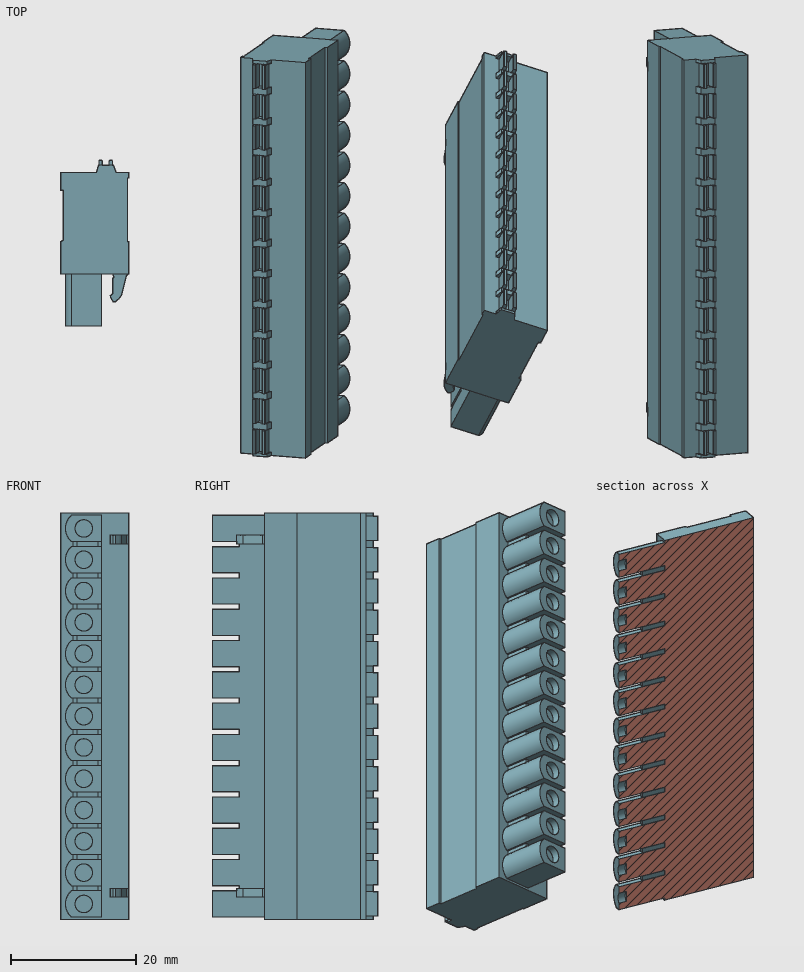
import cadquery as cq


length = 65.0
pole_count = 13
pitch = length / pole_count
pole_heights = [(index + 0.5) * pitch for index in range(pole_count)]

housing_width = 10.9
housing_depth = 16.25
recess_start = 5.2
left_recess_end = 13.4
right_recess_end = 15.35
left_recess = 0.4
right_recess = 0.2
recess_ramp = 0.2

plug_length = 8.3
plug_height = 4.2
plug_left = 0.8
plug_corner_x = 1.75
plug_right = 6.55
bore_x = 3.7
bore_diameter = 2.8
bore_depth = 1.3

web_length = 4.0
web_thickness = 0.6
web_lefts = (2.0, plug_right - web_thickness)

ridge_height = 1.2
ridge_base = (5.7, 8.9)
ridge_top = (6.05, 8.45)
window_height = 3.9
blade_height = 1.95
blade_thickness = 0.6
blade_bevel = 0.1
first_blade_left = 6.1
second_blade_left = 7.75

latch_height = 1.4
latch_inset = 3.6
latch_outline = [
    (8.3, 0),
    (8.5, -0.5),
    (8.3, -0.65),
    (8.3, -3.1),
    (7.9, -3.45),
    (8.0, -3.8),
    (8.4, -4.4),
    (8.8, -4.4),
    (9.4, -3.85),
    (9.75, -3.4),
    (10.5, -0.25),
    (10.85, 0),
]


def slab(outline, bottom, height):
    """Extrude a closed XY outline upward from a Z level."""
    return cq.Workplane("XY").workplane(offset=bottom).polyline(outline).close().extrude(height)


def block(left, right, front, back, bottom, top):
    """Box between two limits along each axis."""
    size = (right - left, back - front, top - bottom)
    return cq.Workplane("XY").box(*size, centered=False).translate((left, front, bottom))


def make_housing():
    """Rectangular housing with a shallow recess along each side, the left one starting with a ramp."""
    left = left_recess
    right = housing_width - right_recess
    outline = [
        (0, 0),
        (housing_width, 0),
        (housing_width, recess_start),
        (right, recess_start),
        (right, right_recess_end),
        (housing_width, right_recess_end),
        (housing_width, housing_depth),
        (0, housing_depth),
        (0, left_recess_end),
        (left, left_recess_end),
        (left, recess_start + recess_ramp),
        (0, recess_start),
    ]
    return slab(outline, 0, length)


def make_plug(pole_z):
    """Plug with a bowed left side and a shallow bore in its front end."""
    half_height = plug_height / 2
    plug = (
        cq.Workplane("XZ")
        .moveTo(plug_corner_x, pole_z - half_height)
        .lineTo(plug_right, pole_z - half_height)
        .lineTo(plug_right, pole_z + half_height)
        .lineTo(plug_corner_x, pole_z + half_height)
        .threePointArc((plug_left, pole_z), (plug_corner_x, pole_z - half_height))
        .close()
        .extrude(plug_length)
    )
    bore = (
        cq.Workplane("XZ", origin=(0, -plug_length, 0))
        .center(bore_x, pole_z)
        .circle(bore_diameter / 2)
        .extrude(-bore_depth)
    )
    return plug.cut(bore)


def make_web(left, lower_pole_z):
    """Thin wall filling the gap above one plug."""
    bottom = lower_pole_z + plug_height / 2
    top = lower_pole_z + pitch - plug_height / 2
    return block(left, left + web_thickness, -web_length, 0, bottom, top)


def make_ridge():
    """Tapered ridge along the back of the housing."""
    back = housing_depth + ridge_height
    outline = [
        (ridge_base[0], housing_depth),
        (ridge_base[1], housing_depth),
        (ridge_top[1], back),
        (ridge_top[0], back),
    ]
    return slab(outline, 0, length)


def make_window(pole_z):
    """Opening across the ridge that bares the contact blades of one pole."""
    bottom = pole_z - window_height / 2
    back = housing_depth + ridge_height
    return block(*ridge_base, housing_depth, back, bottom, bottom + window_height)


def make_blade(left, pole_z):
    """Contact blade with both edges of its tip bevelled."""
    right = left + blade_thickness
    tip = housing_depth + blade_height
    shoulder = tip - blade_bevel
    outline = [
        (left, housing_depth),
        (right, housing_depth),
        (right, shoulder),
        (right - blade_bevel, tip),
        (left + blade_bevel, tip),
        (left, shoulder),
    ]
    return slab(outline, pole_z - window_height / 2, window_height)


result = make_housing().union(make_ridge())

for pole_z in pole_heights:
    result = result.cut(make_window(pole_z))
    for blade_left in (first_blade_left, second_blade_left):
        result = result.union(make_blade(blade_left, pole_z))
    result = result.union(make_plug(pole_z))

for pole_z in pole_heights[:-1]:
    for web_left in web_lefts:
        result = result.union(make_web(web_left, pole_z))

for latch_bottom in (latch_inset, length - latch_inset - latch_height):
    result = result.union(slab(latch_outline, latch_bottom, latch_height))